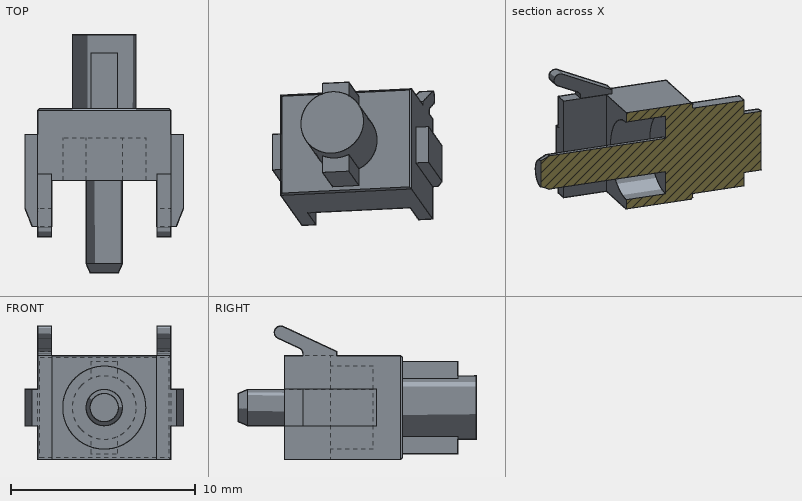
import cadquery as cq
import math

TOTAL_LENGTH = 12.9
OVERALL_HEIGHT = 7.234

HOUSING_WIDTH = 7.2
HOUSING_HEIGHT = 5.63
HOUSING_REAR = 4.0
RECESS_FLOOR = 7.9
ARM_END = 10.4
ARM_GAP = 5.65
REAR_CHAMFER = 0.1

BARREL_DIAMETER = 3.45
KEY_WIDTH = 1.45
KEY_SPAN = 5.0
KEY_START = 1.0

BORE_DIAMETER = 4.5
BORE_FLOOR = 5.6
PIN_DIAMETER = 1.97
PIN_TIP_LENGTH = 0.5
PIN_TIP_INSET = 0.22

LUG_PROTRUSION = 0.7
LUG_HEIGHT = 2.0
LUG_START = 5.4
LUG_TAPER_START = 9.4
LUG_TAPER_INSET = 0.4

LATCH_WIDTH = 0.75
LATCH_ROOT_START = 7.55
LATCH_ROOT_END = 9.4
LATCH_STEP = 0.22
LATCH_THICKNESS = 0.7
LATCH_ANGLE = math.radians(25)
LATCH_ROOT_FILLET = 0.3

HALF_WIDTH = HOUSING_WIDTH / 2
HALF_HEIGHT = HOUSING_HEIGHT / 2


def box(width, start, end, height):
    """Box centred on the Y axis, running from one length station to another."""
    block = cq.Workplane("XY").box(width, end - start, height)
    return block.translate((0, -(start + end) / 2, 0))


def rod(diameter, start, end):
    """Cylinder along the Y axis, running from one length station to another."""
    plane = cq.Workplane("XZ", origin=(0, -start, 0))
    return plane.circle(diameter / 2).extrude(end - start)


def make_housing():
    housing = box(HOUSING_WIDTH, HOUSING_REAR, ARM_END, HOUSING_HEIGHT)
    housing = housing.faces(">Y").chamfer(REAR_CHAMFER)
    housing = housing.cut(box(ARM_GAP, RECESS_FLOOR, ARM_END, HOUSING_HEIGHT))
    return housing.cut(rod(BORE_DIAMETER, BORE_FLOOR, RECESS_FLOOR))


def make_barrel():
    barrel = rod(BARREL_DIAMETER, 0, HOUSING_REAR)
    return barrel.union(box(KEY_WIDTH, KEY_START, HOUSING_REAR, KEY_SPAN))


def make_pin():
    pin = rod(PIN_DIAMETER, BORE_FLOOR, TOTAL_LENGTH)
    return pin.faces("<Y").chamfer(PIN_TIP_LENGTH, PIN_TIP_INSET)


def make_lug():
    """Lug on the +X arm, tapered towards the arm's end."""
    outer = HALF_WIDTH + LUG_PROTRUSION
    outline = [
        (HALF_WIDTH, -LUG_START),
        (outer, -LUG_START),
        (outer, -LUG_TAPER_START),
        (outer - LUG_TAPER_INSET, -ARM_END),
        (HALF_WIDTH, -ARM_END),
    ]
    plane = cq.Workplane("XY", origin=(0, 0, -LUG_HEIGHT / 2))
    return plane.polyline(outline).close().extrude(LUG_HEIGHT)


def make_latch():
    """Latch on the +X arm: a sloping finger with a full-round tip."""
    radius = LATCH_THICKNESS / 2
    along_y = -math.cos(LATCH_ANGLE)
    along_z = math.sin(LATCH_ANGLE)
    up_y = along_z
    up_z = -along_y

    root_top_z = HALF_HEIGHT + LATCH_STEP
    centre_z = OVERALL_HEIGHT - HALF_HEIGHT - radius
    rise = centre_z + radius * up_z - root_top_z
    centre_y = -LATCH_ROOT_START - rise / math.tan(LATCH_ANGLE) - radius * up_y

    upper_end = (centre_y + radius * up_y, centre_z + radius * up_z)
    tip = (centre_y + radius * along_y, centre_z + radius * along_z)
    lower_end = (centre_y - radius * up_y, centre_z - radius * up_z)
    run_back = lower_end[0] + LATCH_ROOT_END
    corner_z = lower_end[1] + run_back * math.tan(LATCH_ANGLE)

    latch = (
        cq.Workplane("YZ", origin=(HALF_WIDTH - LATCH_WIDTH, 0, 0))
        .moveTo(-LATCH_ROOT_START, HALF_HEIGHT)
        .lineTo(-LATCH_ROOT_START, root_top_z)
        .lineTo(*upper_end)
        .threePointArc(tip, lower_end)
        .lineTo(-LATCH_ROOT_END, corner_z)
        .lineTo(-LATCH_ROOT_END, HALF_HEIGHT)
        .close()
        .extrude(LATCH_WIDTH)
    )
    corner = cq.selectors.NearestToPointSelector(
        (HALF_WIDTH - LATCH_WIDTH / 2, -LATCH_ROOT_END, corner_z)
    )
    return latch.edges("|X").edges(corner).fillet(LATCH_ROOT_FILLET)


result = make_housing().union(make_barrel()).union(make_pin())
for side_part in (make_lug(), make_latch()):
    result = result.union(side_part).union(side_part.mirror("YZ"))